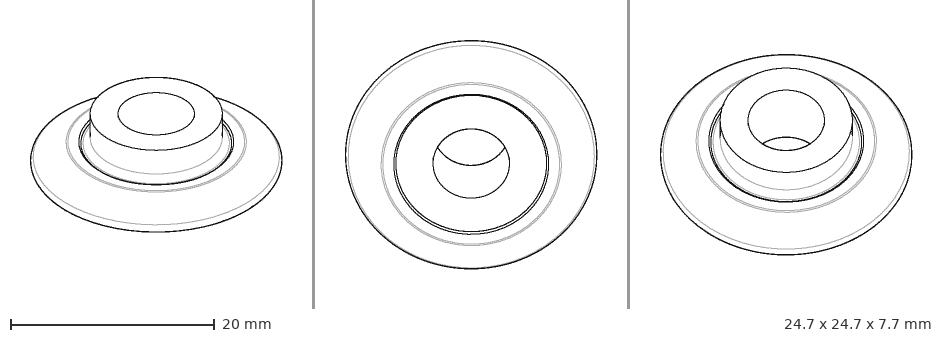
import cadquery as cq
import math

outer_radius = 12.35
total_height = 7.7
wheel_height = 4.4

flank_angle = 28.0
tip_round = 0.5
face_round = 0.37
mouth_chamfer = 0.2

seat_radius = 7.4
collar_radius = 6.5
bore_radius = 3.75
collar_fillet = 0.7
seat_recess = 0.17

middle_height = wheel_height / 2


def make_wheel():
    """Revolve the sharp-edged wheel section, then round its tip and face edges."""
    slope = math.radians(flank_angle)
    apex_radius = outer_radius - tip_round + tip_round / math.sin(slope)
    face_radius = apex_radius - middle_height / math.tan(slope)
    wheel_blank = (
        cq.Workplane("XZ")
        .moveTo(seat_radius, mouth_chamfer)
        .lineTo(seat_radius + mouth_chamfer, 0)
        .lineTo(face_radius, 0)
        .lineTo(apex_radius, middle_height)
        .lineTo(face_radius, wheel_height)
        .lineTo(seat_radius + mouth_chamfer, wheel_height)
        .lineTo(seat_radius, wheel_height - mouth_chamfer)
        .close()
        .revolve(360, (0, 0, 0), (0, 1, 0))
    )
    circles = wheel_blank.edges("%CIRCLE")
    tip_edge = circles.filter(lambda edge: edge.radius() > outer_radius)
    rounded = wheel_blank.newObject(tip_edge.vals()).fillet(tip_round)
    face_edges = rounded.edges("%CIRCLE").filter(
        lambda edge: math.isclose(edge.radius(), face_radius, abs_tol=0.0002)
    )
    return rounded.newObject(face_edges.vals()).fillet(face_round)


def make_hub():
    """Revolve the hub section: seat, concave fillet, collar and through bore."""
    seat_top = wheel_height - seat_recess
    arc_inset = collar_fillet * (1 - math.sqrt(0.5))
    return (
        cq.Workplane("XZ")
        .moveTo(bore_radius, seat_recess)
        .lineTo(seat_radius, seat_recess)
        .lineTo(seat_radius, seat_top)
        .lineTo(collar_radius + collar_fillet, seat_top)
        .threePointArc(
            (collar_radius + arc_inset, seat_top + arc_inset),
            (collar_radius, seat_top + collar_fillet),
        )
        .lineTo(collar_radius, total_height)
        .lineTo(bore_radius, total_height)
        .close()
        .revolve(360, (0, 0, 0), (0, 1, 0))
    )


wheel = make_wheel()
hub = make_hub()

result = cq.Compound.makeCompound([wheel.solids().val(), hub.val()])